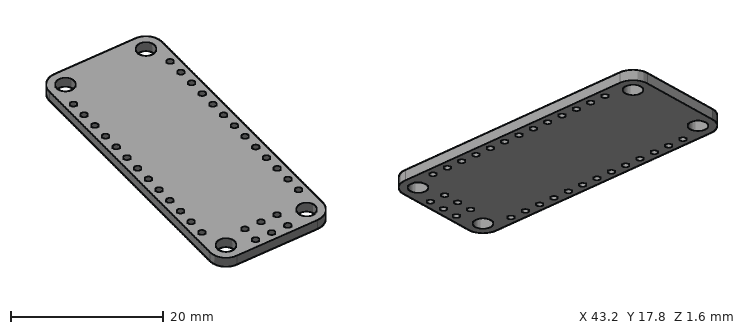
import cadquery as cq

pitch = 2.54
thickness = 1.6
pin_hole_diameter = 1.0
mount_hole_diameter = 2.7

board_length = 17 * pitch
board_width = 7 * pitch
corner_radius = pitch

mount_spacing_x = board_length - 2 * corner_radius
mount_spacing_y = board_width - 2 * corner_radius

edge_inset = pitch / 2
pins_per_row = 13
row_spacing = board_width - 2 * edge_inset

header_columns = 2
header_rows = 3
header_center_x = board_length / 2 - edge_inset - (header_columns - 1) * pitch / 2


def make_board():
    """Flat plate with rounded vertical corners, resting on Z = 0."""
    board = cq.Workplane("XY").box(board_length, board_width, thickness, centered=(True, True, False))
    return board.edges("|Z").fillet(corner_radius)


def hole_grid(diameter, spacing_x, spacing_y, count_x, count_y, center_x=0):
    """Cutting cylinders through the board on a rectangular grid."""
    return (
        cq.Workplane("XY")
        .center(center_x, 0)
        .rarray(spacing_x, spacing_y, count_x, count_y)
        .circle(diameter / 2)
        .extrude(thickness)
    )


mount_holes = hole_grid(mount_hole_diameter, mount_spacing_x, mount_spacing_y, 2, 2)
edge_pin_holes = hole_grid(pin_hole_diameter, pitch, row_spacing, pins_per_row, 2)
header_holes = hole_grid(pin_hole_diameter, pitch, pitch, header_columns, header_rows, header_center_x)

result = make_board().cut(mount_holes).cut(edge_pin_holes).cut(header_holes)